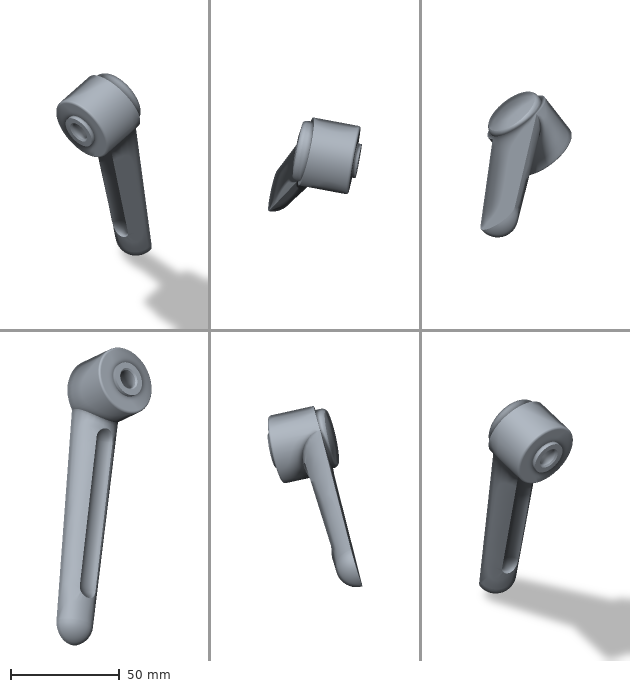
import cadquery as cq
import math


hub_radius = 16.0
hub_edge_fillet = 1.0
bush_radius = 8.0
bush_projection = 2.0
core_start = 4.0
hub_back = 32.0

cap_radius = 14.0
cap_fillet_start = 26.3
cap_rim = 28.5
cap_rim_radius = 12.9
cap_crown = 29.6

bore_radius = 4.5
bore_mouth_radius = 5.2
bore_depth = 18.0
drill_half_angle = 59.0

overall_depth = 41.5
handle_reach = 120.02
handle_tilt = 8.0
root_radius = 12.45
tip_radius = 9.55

groove_radius = 4.9
groove_upper_z = -24.8
groove_lower_z = -95.8

sin_tilt = math.sin(math.radians(handle_tilt))
cos_tilt = math.cos(math.radians(handle_tilt))
tip_center_z = tip_radius - handle_reach
tip_center_y = overall_depth - tip_radius * sin_tilt
back_at_axis = tip_center_y + tip_center_z * sin_tilt / cos_tilt
handle_length = -tip_center_z / cos_tilt

back_plane = cq.Plane(
    origin=(0, back_at_axis, 0),
    xDir=(1, 0, 0),
    normal=(0, -cos_tilt, -sin_tilt),
)


def cylinder_on_y(radius, start, end):
    """Cylinder around the Y axis between two Y positions."""
    return cq.Workplane("XZ", origin=(0, start, 0)).circle(radius).extrude(start - end)


def keep_front_of_back_plane(body):
    """Remove everything behind the sloping back plane."""
    cutter_size = 4 * handle_reach
    behind = cq.Workplane(back_plane).rect(cutter_size, cutter_size).extrude(-cutter_size)
    return body.cut(behind)


def make_hub():
    hub = cylinder_on_y(hub_radius, bush_projection, hub_back)
    hub = hub.faces("<Y").edges().fillet(hub_edge_fillet)
    hub = keep_front_of_back_plane(hub)
    return hub.union(cylinder_on_y(bush_radius, 0, core_start))


def make_cap():
    """Rounded and slightly domed disc, revolved around the Y axis."""
    crown_height = cap_crown - cap_rim
    sphere_radius = (cap_rim_radius**2 + crown_height**2) / (2 * crown_height)
    mid_radius = cap_rim_radius / 2
    mid_y = cap_crown - sphere_radius + math.sqrt(sphere_radius**2 - mid_radius**2)
    return (
        cq.Workplane("XY")
        .moveTo(0, core_start)
        .lineTo(cap_radius, core_start)
        .lineTo(cap_radius, cap_fillet_start)
        .tangentArcPoint((cap_rim_radius, cap_rim), relative=False)
        .threePointArc((mid_radius, mid_y), (0, cap_crown))
        .close()
        .revolve(360, (0, 0, 0), (0, 1, 0))
    )


def make_handle():
    """Tapered round bar with a ball end, halved by the back plane."""
    diagonal = tip_radius * math.sqrt(0.5)
    bar = (
        cq.Workplane(back_plane)
        .moveTo(0, 0)
        .lineTo(root_radius, 0)
        .lineTo(tip_radius, -handle_length)
        .threePointArc(
            (diagonal, -handle_length - diagonal),
            (0, -handle_length - tip_radius),
        )
        .close()
        .revolve(360, (0, 0, 0), (0, 1, 0))
    )
    return keep_front_of_back_plane(bar)


def groove_center(z):
    """Point on the groove axis at height z, following the crest of the handle."""
    taper = (root_radius - tip_radius) / handle_length
    along = (-z - root_radius * sin_tilt) / (cos_tilt - taper * sin_tilt)
    height = root_radius - taper * along
    return back_plane.toWorldCoords((0, -along, height))


def make_groove():
    upper = groove_center(groove_upper_z)
    lower = groove_center(groove_lower_z)
    axis = lower - upper
    groove = cq.Workplane(cq.Solid.makeCylinder(groove_radius, axis.Length, upper, axis))
    for end in (upper, lower):
        ball = cq.Workplane("XY", origin=end.toTuple()).sphere(groove_radius)
        groove = groove.union(ball)
    return groove


def make_bore():
    """Chamfered blind hole with a drill-point bottom, revolved around the Y axis."""
    mouth_chamfer = bore_mouth_radius - bore_radius
    point_length = bore_radius / math.tan(math.radians(drill_half_angle))
    return (
        cq.Workplane("XY")
        .moveTo(0, 0)
        .lineTo(bore_mouth_radius, 0)
        .lineTo(bore_radius, mouth_chamfer)
        .lineTo(bore_radius, bore_depth)
        .lineTo(0, bore_depth + point_length)
        .close()
        .revolve(360, (0, 0, 0), (0, 1, 0))
    )


lever = make_handle().cut(make_groove())
lever = lever.union(make_hub()).union(make_cap())
result = lever.cut(make_bore())